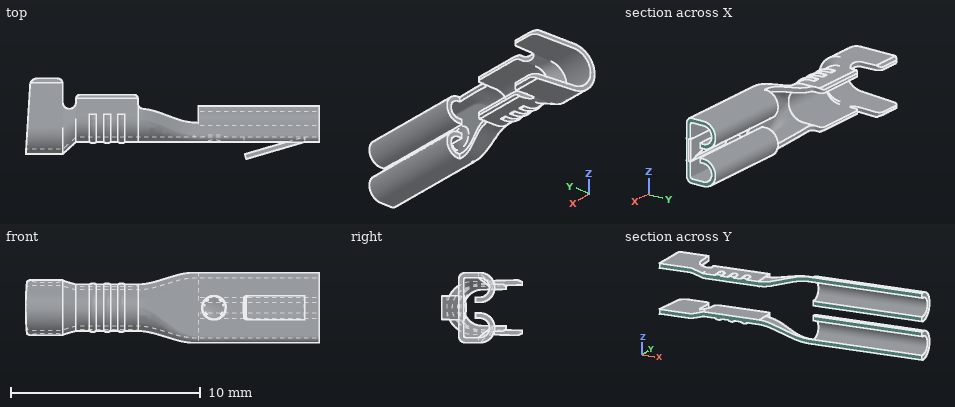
import cadquery as cq
import math


SHEET = 0.28
TOTAL_LENGTH = 15.49
INSULATION_END = 1.96
CRIMP_START = 2.65
CRIMP_END = 5.93
FLARE_END = 8.85
BOX_START = 9.10

INSULATION_BEND = 1.40
INSULATION_SPREAD = math.radians(1.6)
INSULATION_FLOOR = -0.63
INSULATION_TOP = 3.37
INSULATION_SLANT = 0.25
INSULATION_FRONT_ROUND = 0.4
INSULATION_BACK_ROUND = 0.3
INSULATION_BEVEL_HEIGHT = 0.25
INSULATION_BEVEL_DEPTH = 0.12

CRIMP_BEND = 1.221
CRIMP_SPREAD = math.radians(1.0)
CRIMP_TOP = 2.51
CRIMP_ROUND = 0.24
CRIMP_BEVEL_HEIGHT = 0.19
CRIMP_BEVEL_DEPTH = 0.1
NOTCH_BOTTOM = 1.76
CRIMP_BACK_FILLET = 0.28

RIB_COUNT = 3
FIRST_RIB_X = 3.545
RIB_PITCH = 0.752
RIB_WIDTH = 0.365
RIB_HEIGHT = 0.07
RIB_SINK = 0.1
RIB_TOP = 1.46

FLARE_STEPS = 8
FLARE_LEAST_FLAT = 0.005
FLARE_LOW_EDGE = 1.03

BOX_HALF_WIDTH = 1.855
BOX_BEND = 0.37
CURL_RADIUS = 0.79
CURL_BASE = 1.12
CURL_TIP = 0.885

DIMPLE_X = 9.93
DIMPLE_RADIUS = 0.6
DIMPLE_DEPTH = 0.13
DIMPLE_RIM = 0.04

LANCE_HINGE_X = 14.71
LANCE_TIP_X = 11.63
LANCE_DROP = 0.90
LANCE_HALF_WIDTH = 0.63
LANCE_ROUND = 0.17
WINDOW_START = 11.5


def wall_half_width(height, bend, spread, floor):
    """Distance from the symmetry plane to the outside of a wing of a round trough."""
    tangent_height = floor + bend * (1 - math.sin(spread))
    return bend * math.cos(spread) + (height - tangent_height) * math.tan(spread)


def trough_outline(plane, bend, spread, floor, top, flat=0):
    """Closed U outline of the bent sheet, drawn in Y and Z on the given plane.

    flat is half the width of the flat floor between the two bends; a trough
    without one has a single round floor.
    """
    center = floor + bend
    inner_bend = bend - SHEET

    def bend_point(radius, angle):
        return (center - radius * math.sin(angle), flat + radius * math.cos(angle))

    def wing_tip(radius):
        height, half_width = bend_point(radius, spread)
        return (top, half_width + (top - height) * math.tan(spread))

    def mirrored(point):
        return (point[0], -point[1])

    def add_bends(outline, radius, side):
        """Draw the floor from the wing on the first side round to the other wing."""
        start = side(bend_point(radius, spread))
        finish = mirrored(start)
        outline = outline.lineTo(*start)
        if flat == 0:
            return outline.threePointArc((center - radius, 0), finish)
        middle = side(bend_point(radius, (spread + math.pi / 2) / 2))
        floor_edge = side((center - radius, flat))
        return (
            outline.threePointArc(middle, floor_edge)
            .lineTo(*mirrored(floor_edge))
            .threePointArc(mirrored(middle), finish)
        )

    outline = plane.moveTo(*wing_tip(bend))
    outline = add_bends(outline, bend, lambda point: point)
    outline = outline.lineTo(*mirrored(wing_tip(bend)))
    outline = outline.lineTo(*mirrored(wing_tip(inner_bend)))
    outline = add_bends(outline, inner_bend, mirrored)
    return outline.lineTo(*wing_tip(inner_bend)).close()


def cross_plane(x):
    return cq.Workplane("YZ", origin=(x, 0, 0))


def trough(start, end, bend, spread, floor, top):
    """Straight length of round trough."""
    return trough_outline(cross_plane(start), bend, spread, floor, top).extrude(end - start)


def neck():
    """Trough narrowing from the insulation barrel to the crimp barrel."""
    length = CRIMP_START - INSULATION_END
    wide = trough_outline(
        cross_plane(INSULATION_END),
        INSULATION_BEND, INSULATION_SPREAD, INSULATION_FLOOR, INSULATION_TOP,
    )
    narrow = trough_outline(
        wide.workplane(offset=length, origin=(0, 0, 0)),
        CRIMP_BEND, CRIMP_SPREAD, 0, INSULATION_TOP,
    )
    return narrow.loft(ruled=True, combine=True)


def flare():
    """Trough widening smoothly from the crimp barrel to the contact box."""
    step = (BOX_START - CRIMP_END) / FLARE_STEPS
    box_flat = BOX_HALF_WIDTH - BOX_BEND
    sections = cross_plane(CRIMP_END)
    for index in range(FLARE_STEPS + 1):
        t = min(1, index * step / (FLARE_END - CRIMP_END))
        blend = t * t * (3 - 2 * t)
        bend = CRIMP_BEND + blend * (BOX_BEND - CRIMP_BEND)
        flat = FLARE_LEAST_FLAT + blend * (box_flat - FLARE_LEAST_FLAT)
        spread = CRIMP_SPREAD * (1 - blend)
        if index:
            sections = sections.workplane(offset=step, origin=(0, 0, 0))
        sections = trough_outline(sections, bend, spread, 0, CRIMP_TOP, flat)
    return sections.loft(combine=True)


def side_outline():
    """Block bounded by the side silhouette of the barrels and the flare."""
    notch_radius = (CRIMP_START - INSULATION_END) / 2
    notch_center = NOTCH_BOTTOM + notch_radius
    fillet_end = (CRIMP_END + CRIMP_BACK_FILLET, NOTCH_BOTTOM)
    outline = (
        cq.Workplane("XY")
        .moveTo(0, INSULATION_FLOOR)
        .lineTo(INSULATION_SLANT, INSULATION_TOP)
        .lineTo(INSULATION_END, INSULATION_TOP)
        .lineTo(INSULATION_END, notch_center)
        .threePointArc(
            (INSULATION_END + notch_radius, NOTCH_BOTTOM),
            (CRIMP_START, notch_center),
        )
        .lineTo(CRIMP_START, CRIMP_TOP)
        .lineTo(CRIMP_END, CRIMP_TOP)
        .lineTo(CRIMP_END, NOTCH_BOTTOM + CRIMP_BACK_FILLET)
        .radiusArc(fillet_end, -CRIMP_BACK_FILLET)
        .spline(
            [(BOX_START, FLARE_LOW_EDGE)],
            tangents=[(1, -0.1), (1, 0)],
            includeCurrent=True,
        )
        .lineTo(BOX_START, INSULATION_FLOOR)
        .close()
        .extrude(BOX_HALF_WIDTH, both=True)
    )

    def corner(x, y):
        return outline.edges(cq.selectors.NearestToPointSelector((x, y, 0))).vals()

    front = corner(INSULATION_SLANT, INSULATION_TOP)
    back = corner(INSULATION_END, INSULATION_TOP)
    crimp = corner(CRIMP_START, CRIMP_TOP) + corner(CRIMP_END, CRIMP_TOP)
    outline = outline.newObject(front).fillet(INSULATION_FRONT_ROUND)
    outline = outline.newObject(back).fillet(INSULATION_BACK_ROUND)
    return outline.newObject(crimp).fillet(CRIMP_ROUND)


def wing_bevels(start, end, bend, spread, floor, top, height, depth):
    """Pair of wedges that bevel the outer top edges of the barrel wings."""
    foot = wall_half_width(top - height, bend, spread, floor)
    tip = wall_half_width(top, bend, spread, floor)
    wedge = (
        cross_plane(start)
        .polyline([(top - height, foot), (top, tip), (top, tip - depth)])
        .close()
        .extrude(end - start)
    )
    return wedge.union(wedge.mirror("XY"))


def crimp_rib(x):
    """Rounded rib that follows the outside of the crimp barrel."""
    surface = wall_half_width(RIB_TOP, CRIMP_BEND, CRIMP_SPREAD, 0)
    tangent_height = CRIMP_BEND * (1 - math.sin(CRIMP_SPREAD))
    tangent_half_width = CRIMP_BEND * math.cos(CRIMP_SPREAD)
    path = (
        cross_plane(x)
        .moveTo(RIB_TOP, surface)
        .lineTo(tangent_height, tangent_half_width)
        .threePointArc((0, 0), (tangent_height, -tangent_half_width))
        .lineTo(RIB_TOP, -surface)
    )
    half = RIB_WIDTH / 2
    profile = (
        cq.Workplane(cq.Plane(origin=(x, RIB_TOP, 0), xDir=(1, 0, 0), normal=(0, -1, 0)))
        .moveTo(-half, surface - RIB_SINK)
        .lineTo(-half, surface)
        .threePointArc((0, surface + RIB_HEIGHT), (half, surface))
        .lineTo(half, surface - RIB_SINK)
        .close()
    )
    return profile.sweep(path)


def contact_box():
    """Box section with both side walls curled inwards over the floor."""
    wall_inner = BOX_HALF_WIDTH - SHEET
    inner_bend = BOX_BEND - SHEET
    flat = BOX_HALF_WIDTH - BOX_BEND
    curl_center = BOX_HALF_WIDTH - CURL_RADIUS
    curl_inner = CURL_RADIUS - SHEET
    tip_near = curl_center - CURL_RADIUS
    tip_far = curl_center - curl_inner
    half = (
        cross_plane(BOX_START)
        .moveTo(0, 0)
        .lineTo(0, flat)
        .radiusArc((BOX_BEND, BOX_HALF_WIDTH), BOX_BEND)
        .lineTo(CURL_BASE, BOX_HALF_WIDTH)
        .threePointArc((CURL_BASE + CURL_RADIUS, curl_center), (CURL_BASE, tip_near))
        .lineTo(CURL_TIP, tip_near)
        .lineTo(CURL_TIP, tip_far)
        .lineTo(CURL_BASE, tip_far)
        .threePointArc((CURL_BASE + curl_inner, curl_center), (CURL_BASE, wall_inner))
        .lineTo(BOX_BEND, wall_inner)
        .radiusArc((SHEET, flat), -inner_bend)
        .lineTo(SHEET, 0)
        .close()
        .extrude(TOTAL_LENGTH - BOX_START)
    )
    return half.union(half.mirror("XY"))


def add_dimple(body):
    """Press a spherical dimple up into the box floor, with a bevelled rim."""
    sphere_radius = (DIMPLE_RADIUS**2 + DIMPLE_DEPTH**2) / (2 * DIMPLE_DEPTH)
    center = cq.Workplane("XY", origin=(DIMPLE_X, DIMPLE_DEPTH - sphere_radius, 0))
    hollow = center.sphere(sphere_radius)
    bump_block = (
        cq.Workplane("XZ", origin=(DIMPLE_X, SHEET / 2, 0))
        .circle(BOX_HALF_WIDTH / 2)
        .extrude(-sphere_radius)
    )
    bump = center.sphere(sphere_radius + SHEET).intersect(bump_block)
    rim = cq.Workplane(
        cq.Solid.makeCone(
            DIMPLE_RADIUS + DIMPLE_RIM, DIMPLE_RADIUS, DIMPLE_RIM,
            pnt=cq.Vector(DIMPLE_X, 0, 0), dir=cq.Vector(0, 1, 0),
        )
    )
    return body.union(bump).cut(hollow).cut(rim)


def lance_window():
    """Opening left in the box floor by the lance."""
    length = LANCE_HINGE_X - WINDOW_START
    return (
        cq.Workplane("XY")
        .box(length, SHEET, 2 * LANCE_HALF_WIDTH, centered=(False, False, True))
        .translate((WINDOW_START, 0, 0))
        .edges("|Y and <X")
        .fillet(LANCE_ROUND)
    )


def lance():
    """Locking lance bent down out of the floor, with a rounded tip."""
    angle = math.atan2(LANCE_DROP, LANCE_HINGE_X - LANCE_TIP_X)
    length = math.hypot(LANCE_DROP, LANCE_HINGE_X - LANCE_TIP_X)
    root = SHEET * math.tan(angle / 2)
    blade = (
        cq.Workplane("XY")
        .polyline([(-length, 0), (0, 0), (root, SHEET), (-length, SHEET)])
        .close()
        .extrude(LANCE_HALF_WIDTH, both=True)
        .edges("|Y and <X")
        .fillet(LANCE_ROUND)
    )
    return (
        blade.rotate((0, 0, 0), (0, 0, 1), math.degrees(angle))
        .translate((LANCE_HINGE_X, 0, 0))
    )


def barrels():
    """Insulation barrel, crimp barrel and flare, trimmed to the side silhouette."""
    insulation = (
        0, INSULATION_END,
        INSULATION_BEND, INSULATION_SPREAD, INSULATION_FLOOR, INSULATION_TOP,
    )
    crimp = (CRIMP_START, CRIMP_END, CRIMP_BEND, CRIMP_SPREAD, 0, CRIMP_TOP)
    body = trough(*insulation).union(neck()).union(trough(*crimp)).union(flare())
    body = body.intersect(side_outline())
    body = body.cut(wing_bevels(*insulation, INSULATION_BEVEL_HEIGHT, INSULATION_BEVEL_DEPTH))
    body = body.cut(wing_bevels(*crimp, CRIMP_BEVEL_HEIGHT, CRIMP_BEVEL_DEPTH))
    for index in range(RIB_COUNT):
        body = body.union(crimp_rib(FIRST_RIB_X + index * RIB_PITCH))
    return body


box = add_dimple(contact_box()).cut(lance_window()).union(lance())
result = barrels().union(box)